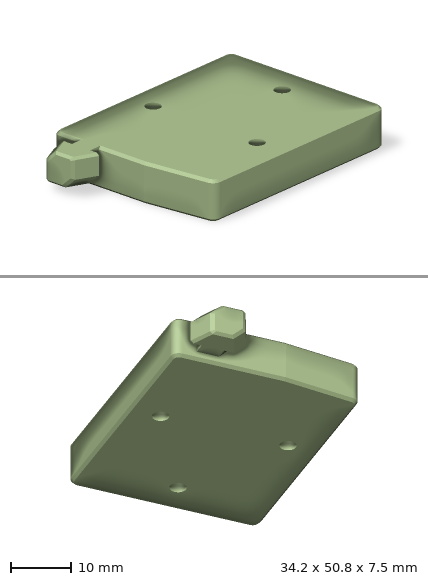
import cadquery as cq

width = 34.2
total_length = 50.8
thickness = 7.5

corner_radius = 1.5
edge_chamfer = 0.5

stem_length = 2.1
head_length = 4.35
stem_width = 6.0
head_overhang = 2.0
clip_inset = 7.05
clip_bottom = 1.5
clip_bevel = 2.0
head_edge_chamfer = 0.45
stem_root = 1.5

slope_start = 20.1
slope_rise = 1.7

hole_diameter = 2.9
back_hole_inset = 6.45
hole_row_gap = 19.25
hole_pair_offset = 11.5

left = -width / 2
right = width / 2
body_length = total_length - stem_length - head_length
clip_center = left + clip_inset
clip_height = thickness - clip_bottom
head_back = -stem_length
head_tip = head_back - head_length
tip_half = stem_width / 2
head_half = tip_half + head_overhang


def extrude_outline(points, bottom, height):
    return cq.Workplane("XY").workplane(offset=bottom).polyline(points).close().extrude(height)


def make_body():
    outline = [
        (left, 0),
        (left + slope_start, 0),
        (right, slope_rise),
        (right, body_length),
        (left, body_length),
    ]
    body = extrude_outline(outline, 0, thickness)
    body = body.edges("|Z and (<X or >X)").fillet(corner_radius)
    return body.faces("<Z or >Z").edges().chamfer(edge_chamfer)


def make_stem():
    stem = (
        cq.Workplane("XY")
        .box(stem_width, stem_length + stem_root, clip_height, centered=(True, False, False))
        .translate((clip_center, head_back, clip_bottom))
    )
    return stem.edges("(<X and >Z) or (>X and <Z)").chamfer(clip_bevel)


def make_head():
    outline = [
        (clip_center - head_half, head_back),
        (clip_center - tip_half, head_tip),
        (clip_center + tip_half, head_tip),
        (clip_center + head_half, head_back),
    ]
    head = extrude_outline(outline, clip_bottom, clip_height)

    def side_edge(x_side, z_side):
        """Lengthwise edge of the head on the given side, at its mid-length."""
        x = clip_center + x_side * (head_half + tip_half) / 2
        z = thickness if z_side > 0 else clip_bottom
        return cq.selectors.NearestToPointSelector((x, (head_back + head_tip) / 2, z))

    for x_side, z_side, size in [
        (-1, 1, clip_bevel),
        (1, -1, clip_bevel),
        (1, 1, head_edge_chamfer),
        (-1, -1, head_edge_chamfer),
    ]:
        head = head.edges(side_edge(x_side, z_side)).chamfer(size)
    return head.faces("<Y").edges().chamfer(head_edge_chamfer)


def make_holes():
    back_y = body_length - back_hole_inset
    pair_y = back_y - hole_row_gap
    centers = [(0, back_y), (-hole_pair_offset, pair_y), (hole_pair_offset, pair_y)]
    return cq.Workplane("XY").pushPoints(centers).circle(hole_diameter / 2).extrude(thickness)


result = make_body().union(make_stem()).union(make_head()).cut(make_holes())